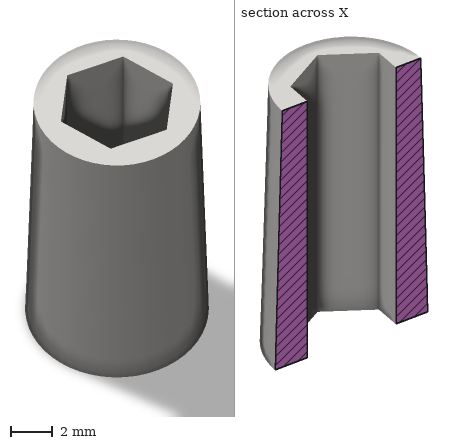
import cadquery as cq

height = 15.0
bottom_diameter = 8.8
top_diameter = 8.0

hex_across_corners = 5.88


def tapered_body():
    """Solid cone frustum standing on the XY plane."""
    return cq.Workplane("XY").add(
        cq.Solid.makeCone(bottom_diameter / 2, top_diameter / 2, height)
    )


def hex_bore():
    """Hexagonal prism running the full height of the sleeve."""
    return cq.Workplane("XY").polygon(6, hex_across_corners).extrude(height)


result = tapered_body().cut(hex_bore())